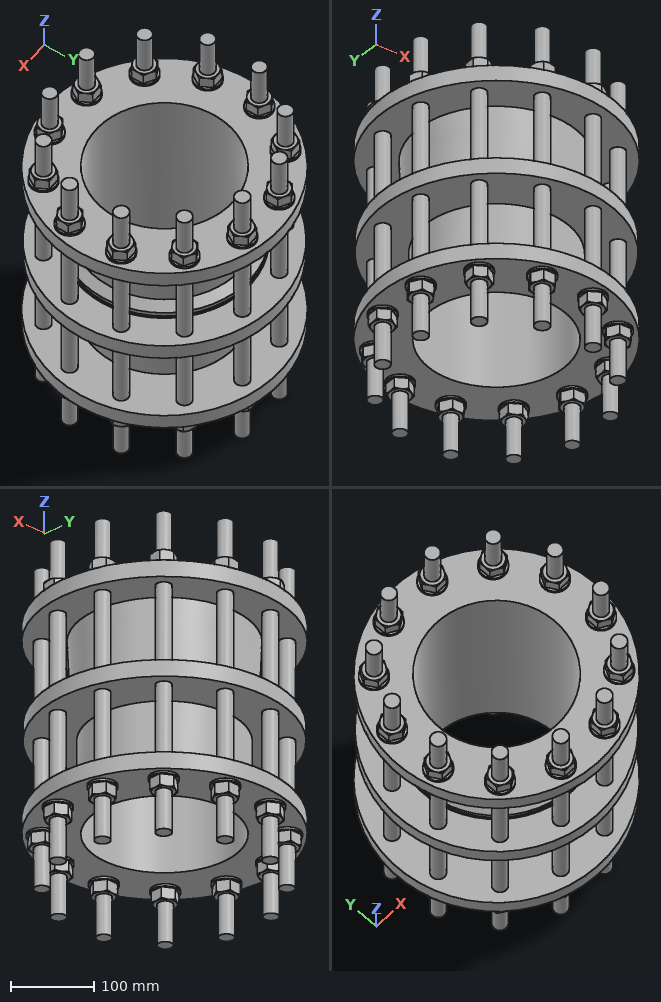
import cadquery as cq
import math

stud_length = 430.0
stud_diameter = 20.0
stud_count = 12
bolt_circle_diameter = 294.5
stud_pitch_angle = 360 / stud_count
first_stud_angle = stud_pitch_angle / 2

washer_diameter = 37.0
washer_thickness = 3.0
nut_across_flats = 30.0
nut_height = 16.0
nut_corner_angle = 30
nut_chamfer_angle = 30

end_flange_diameter = 343.0
middle_flange_diameter = 340.0
flange_thickness = 22.5
stud_protrusion = 74.0
middle_flange_bottom = 199.5

bore_diameter = 201.0
pipe_diameter = 211.0
body_top_diameter = 234.5
body_bottom_diameter = 225.8

ring_diameter = 252.0
ring_band_height = 10.0
ring_slope_height = 9.5
groove_depth = 1.7
groove_width = 1.7
groove_offset = 2.0

bottom_flange_bottom = stud_protrusion
bottom_flange_top = bottom_flange_bottom + flange_thickness
middle_flange_top = middle_flange_bottom + flange_thickness
top_flange_top = stud_length - stud_protrusion
top_flange_bottom = top_flange_top - flange_thickness
ring_band_top = middle_flange_top + ring_band_height
ring_top = ring_band_top + ring_slope_height
groove_bottom = middle_flange_top + groove_offset
groove_top = groove_bottom + groove_width


def make_sleeve():
    """Revolve the flanges, pipe, sealing ring and tapered body as one bored profile."""
    bore_radius = bore_diameter / 2
    end_flange_radius = end_flange_diameter / 2
    middle_flange_radius = middle_flange_diameter / 2
    pipe_radius = pipe_diameter / 2
    ring_radius = ring_diameter / 2
    groove_radius = ring_radius - groove_depth
    outline = [
        (bore_radius, bottom_flange_bottom),
        (end_flange_radius, bottom_flange_bottom),
        (end_flange_radius, bottom_flange_top),
        (pipe_radius, bottom_flange_top),
        (pipe_radius, middle_flange_bottom),
        (middle_flange_radius, middle_flange_bottom),
        (middle_flange_radius, middle_flange_top),
        (ring_radius, middle_flange_top),
        (ring_radius, groove_bottom),
        (groove_radius, groove_bottom),
        (groove_radius, groove_top),
        (ring_radius, groove_top),
        (ring_radius, ring_band_top),
        (body_bottom_diameter / 2, ring_top),
        (body_top_diameter / 2, top_flange_bottom),
        (end_flange_radius, top_flange_bottom),
        (end_flange_radius, top_flange_top),
        (bore_radius, top_flange_top),
    ]
    return cq.Workplane("XZ").polyline(outline).close().revolve(360, (0, 0, 0), (0, 1, 0))


def make_nut():
    """Hexagonal nut standing on Z = 0, its upper corners cut back by a cone."""
    flat_radius = nut_across_flats / 2
    corner_radius = flat_radius / math.cos(math.radians(nut_corner_angle))
    chamfer_drop = (corner_radius - flat_radius) * math.tan(math.radians(nut_chamfer_angle))
    hexagon = cq.Workplane("XY").polygon(6, 2 * corner_radius).extrude(nut_height)
    envelope = (
        cq.Workplane("XZ")
        .moveTo(0, 0)
        .lineTo(corner_radius, 0)
        .lineTo(corner_radius, nut_height - chamfer_drop)
        .lineTo(flat_radius, nut_height)
        .lineTo(0, nut_height)
        .close()
        .revolve(360, (0, 0, 0), (0, 1, 0))
    )
    return hexagon.intersect(envelope)


def make_stud():
    """Stud on the Z axis with a washer and nut outside each end flange."""
    washer = cq.Workplane("XY").circle(washer_diameter / 2).extrude(washer_thickness)
    fastener = washer.union(make_nut().translate((0, 0, washer_thickness)))
    upper_fastener = fastener.translate((0, 0, top_flange_top))
    lower_fastener = fastener.mirror("XY").translate((0, 0, bottom_flange_bottom))
    rod = cq.Workplane("XY").circle(stud_diameter / 2).extrude(stud_length)
    return rod.union(upper_fastener).union(lower_fastener)


result = make_sleeve()
first_stud = make_stud()
for index in range(stud_count):
    turn = index * stud_pitch_angle
    angle = math.radians(first_stud_angle + turn)
    x = bolt_circle_diameter / 2 * math.cos(angle)
    y = bolt_circle_diameter / 2 * math.sin(angle)
    stud = first_stud.rotate((0, 0, 0), (0, 0, 1), turn).translate((x, y, 0))
    result = result.union(stud)